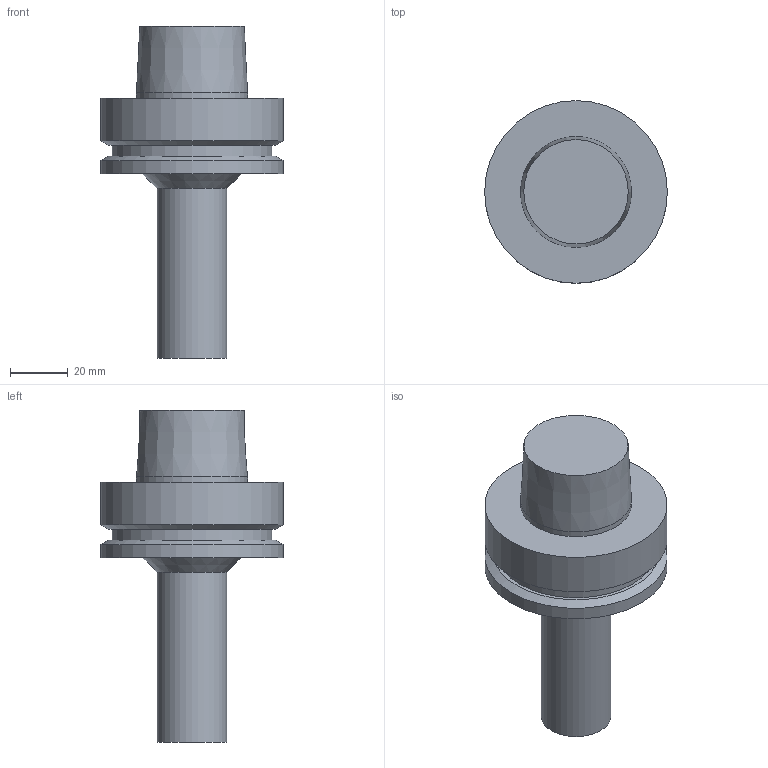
import cadquery as cq
import math

shank_length = 63.5
flange_thickness = 26.0
taper_height = 25.0

taper_base_diameter = 38.3
taper_collar_height = 2.0
taper_ratio = 1 / 10

flange_diameter = 63.0
groove_floor_diameter = 55.0
groove_center_depth = 18.0
groove_width = 3.75
groove_chamfer_height = 1.6
groove_chamfer_angle = 30.0

shank_diameter = 24.0
shank_cone_height = 5.0
shank_cone_angle = 45.0

taper_base_radius = taper_base_diameter / 2
taper_tip_radius = taper_base_radius - (taper_height - taper_collar_height) * taper_ratio / 2
flange_radius = flange_diameter / 2
groove_floor_radius = groove_floor_diameter / 2
groove_lip_radius = flange_radius - groove_chamfer_height / math.tan(math.radians(groove_chamfer_angle))
shank_radius = shank_diameter / 2
shank_cone_radius = shank_radius + shank_cone_height * math.tan(math.radians(shank_cone_angle))

flange_bottom = -flange_thickness
shank_cone_bottom = flange_bottom - shank_cone_height
shank_bottom = flange_bottom - shank_length
groove_top = -groove_center_depth + groove_width / 2
groove_bottom = groove_top - groove_width


def make_body():
    """Revolve the taper, plain flange and shank about the Z axis."""
    outline = [
        (0, shank_bottom),
        (shank_radius, shank_bottom),
        (shank_radius, shank_cone_bottom),
        (shank_cone_radius, flange_bottom),
        (flange_radius, flange_bottom),
        (flange_radius, 0),
        (taper_base_radius, 0),
        (taper_base_radius, taper_collar_height),
        (taper_tip_radius, taper_height),
        (0, taper_height),
    ]
    return cq.Workplane("XZ").polyline(outline).close().revolve(360, (0, 0, 0), (0, 1, 0))


def make_groove():
    """Ring that cuts the gripper groove, with chamfered lips and square walls."""
    outline = [
        (groove_floor_radius, groove_bottom),
        (groove_lip_radius, groove_bottom),
        (flange_radius, groove_bottom - groove_chamfer_height),
        (flange_radius, groove_top + groove_chamfer_height),
        (groove_lip_radius, groove_top),
        (groove_floor_radius, groove_top),
    ]
    return cq.Workplane("XZ").polyline(outline).close().revolve(360, (0, 0, 0), (0, 1, 0))


result = make_body().cut(make_groove())